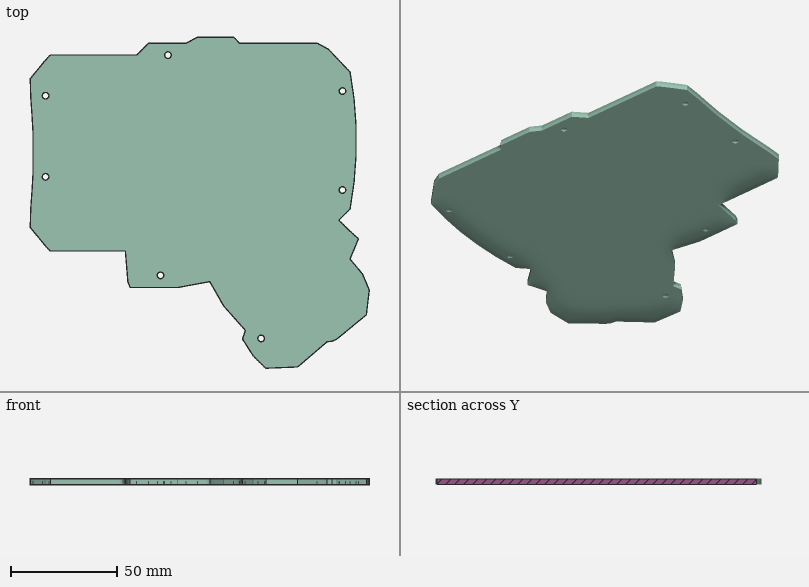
import cadquery as cq

plate_length = 159.78
plate_width = 155.99
plate_thickness = 3.0
hole_diameter = 3.0

rear_left_y = 147.6
rear_step_y = 153.2
front_left_y = 55.2
front_tab_y = 38.0

left_middle_y = (rear_left_y + front_left_y) / 2
left_half_profile = [
    (1.35, 8.9),
    (0.9, 16.9),
    (0.25, 26.2),
    (0.0, 35.0),
    (6.9, 43.4),
    (9.5, rear_left_y - left_middle_y),
]

right_arc_middle_y = 107.3
right_arc_half_chord = 32.2
right_arc_end_x = 150.75
right_arc_rise = 2.95

left_hole_x = 7.3
left_hole_spacing = 38.2
left_hole_middle_y = 109.3
right_hole_x = 147.1
right_hole_spacing = 46.6
single_holes = [(64.9, 147.5), (61.4, 43.8), (108.8, 14.1)]


def left_edge():
    """Points of the left edge, from its front corner up to its rear corner."""
    front_half = [(x, left_middle_y - offset) for x, offset in reversed(left_half_profile)]
    rear_half = [(x, left_middle_y + offset) for x, offset in left_half_profile]
    return front_half + rear_half


def rear_edge():
    """Points of the stepped rear edge, from left to right."""
    return [
        (50.2, rear_left_y),
        (55.8, rear_step_y),
        (73.5, rear_step_y),
        (78.8, plate_width),
        (95.9, plate_width),
        (98.6, rear_step_y),
        (135.2, rear_step_y),
        (140.5, 150.3),
    ]


def thumb_lobe_edge():
    """Points around the angled lobe, from the notch below the right arc to the front tab."""
    return [
        (145.4, 69.8),
        (150.3, 65.0),
        (154.7, 61.0),
        (150.7, 51.5),
        (156.6, 44.4),
        (plate_length, 36.9),
        (158.4, 25.2),
        (144.5, 13.8),
        (142.2, 12.7),
        (139.9, 12.5),
        (126.0, 0.6),
        (111.0, 0.0),
        (105.0, 5.9),
        (100.0, 13.8),
        (101.3, 17.9),
        (91.1, 29.4),
        (84.6, 40.8),
    ]


def front_tab_edge():
    """Points of the tab at the front, from right to left."""
    return [
        (69.5, front_tab_y),
        (47.1, front_tab_y),
        (46.0, 40.7),
        (44.8, front_left_y),
    ]


def plate():
    right_arc_rear = (right_arc_end_x, right_arc_middle_y + right_arc_half_chord)
    right_arc_peak = (right_arc_end_x + right_arc_rise, right_arc_middle_y)
    right_arc_front = (right_arc_end_x, right_arc_middle_y - right_arc_half_chord)

    outline = cq.Workplane("XY").polyline(left_edge() + rear_edge() + [right_arc_rear])
    outline = outline.threePointArc(right_arc_peak, right_arc_front)
    for point in thumb_lobe_edge() + front_tab_edge():
        outline = outline.lineTo(*point)
    return outline.close().extrude(plate_thickness)


def hole_pair(x, middle_y, spacing):
    return [(x, middle_y - spacing / 2), (x, middle_y + spacing / 2)]


def screw_holes():
    centers = (
        hole_pair(left_hole_x, left_hole_middle_y, left_hole_spacing)
        + hole_pair(right_hole_x, right_arc_middle_y, right_hole_spacing)
        + single_holes
    )
    return cq.Workplane("XY").pushPoints(centers).circle(hole_diameter / 2).extrude(plate_thickness)


result = plate().cut(screw_holes())